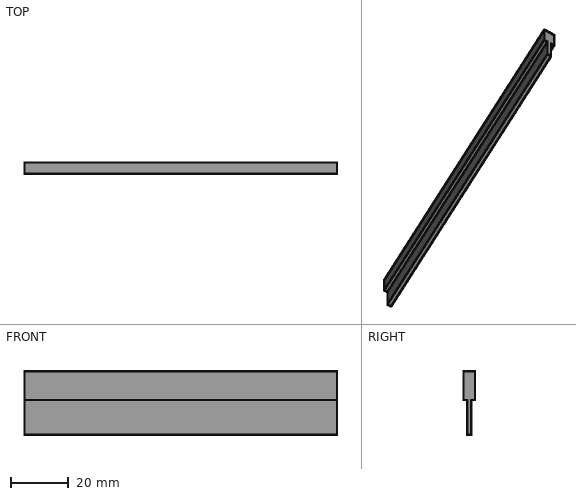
import cadquery as cq

length = 108.0
total_height = 22.0
head_thickness = 4.0
head_height = 10.0
blade_thickness = 1.5

blade_height = total_height - head_height


def make_blade():
    """Thin lower strip, standing on the XY plane."""
    return cq.Workplane("XY").box(
        length, blade_thickness, blade_height, centered=(True, True, False)
    )


def add_head(blade):
    """Thicker bar along the top edge of the blade, centred on its thickness."""
    head = (
        cq.Workplane("XY")
        .workplane(offset=blade_height)
        .box(length, head_thickness, head_height, centered=(True, True, False))
    )
    return blade.union(head)


result = add_head(make_blade())